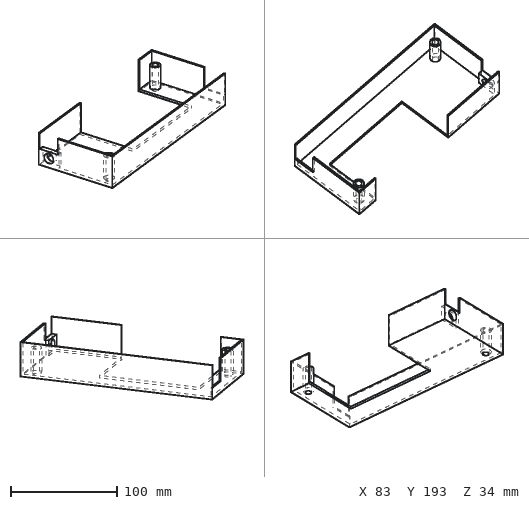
import cadquery as cq

width = 83.0
length = 193.0
height = 34.0

floor_thickness = 2.5
side_wall = 1.4
end_wall = 1.7

opening_width = 59.5
opening_start = 70.5
opening_length = 99.8

post_diameter = 10.0
post_bore = 6.0
post_top = 26.6
post_inset = 11.5
post_centers = [
    (post_inset, length - post_inset),
    (width - post_inset, post_inset),
]

entry_width = 20.0
entry_depth = 5.2
entry_top = 17.2
entry_hole_diameter = 10.5
entry_hole_x = post_inset
entry_hole_z = 9.8

back_notch_start = 59.6
back_notch_bottom = 11.4


def box_between(low, high):
    """Box spanning two opposite corners."""
    sizes = [b - a for a, b in zip(low, high)]
    return cq.Workplane("XY").box(*sizes, centered=False).translate(low)


def upright_cylinder(center, diameter, top):
    """Vertical cylinder standing on the bottom plane."""
    return cq.Workplane("XY").center(*center).circle(diameter / 2).extrude(top)


tray = box_between((0, 0, 0), (width, length, height))
cavity = box_between(
    (side_wall, end_wall, floor_thickness),
    (width - side_wall, length - end_wall, height),
)
tray = tray.cut(cavity)

opening = box_between(
    (0, opening_start, 0),
    (opening_width, opening_start + opening_length, height),
)
tray = tray.cut(opening)

entry_end = side_wall + entry_width
front_notch = box_between((side_wall, 0, entry_top), (entry_end, end_wall, height))
back_notch = box_between(
    (back_notch_start, length - end_wall, back_notch_bottom),
    (width - side_wall, length, height),
)
tray = tray.cut(front_notch).cut(back_notch)

entry_block = box_between((side_wall, 0, 0), (entry_end, entry_depth, entry_top))
entry_hole = (
    cq.Workplane("XZ")
    .center(entry_hole_x, entry_hole_z)
    .circle(entry_hole_diameter / 2)
    .extrude(-entry_depth)
)
tray = tray.union(entry_block).cut(entry_hole)

for center in post_centers:
    tray = tray.union(upright_cylinder(center, post_diameter, post_top))
    tray = tray.cut(upright_cylinder(center, post_bore, post_top))

result = tray